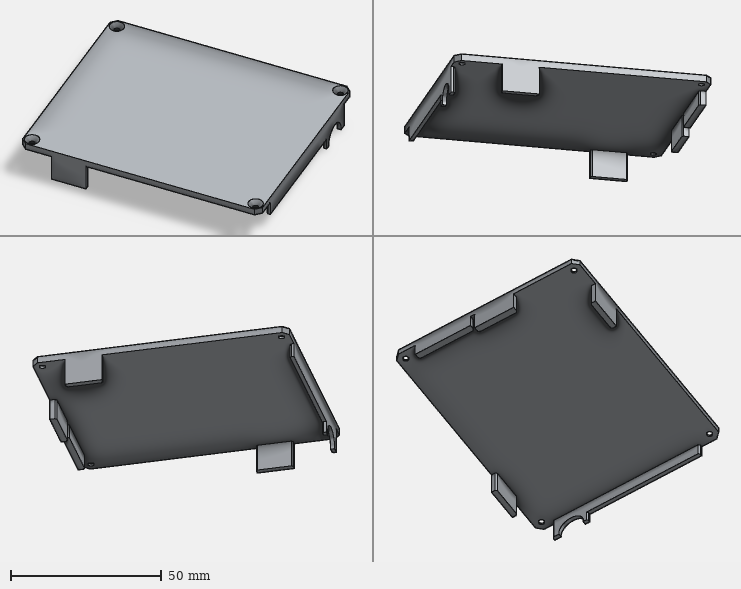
import cadquery as cq

length = 87.9
width = 73.0
total_height = 11.9
plate_thickness = 2.4
corner_chamfer = 2.0

hole_inset = 3.0
hole_diameter = 2.0
countersink_diameter = 5.1
countersink_angle = 90

tab_chamfer = 0.5
y_side_thickness = 2.0
left_thickness = 2.4
right_thickness = 1.4
y_side_drop = total_height - plate_thickness
shallow_drop = 4.9
left_deep_drop = 7.4
arched_drop = 9.05

y_tab_width = 12.7
front_tab_x = -26.2
back_tab_x = 21.6

left_shallow_span = (5.8, 27.8)
left_deep_span = (-11.4, 4.1)
right_shallow_span = (-28.4, 30.15)
right_arched_span = (16.2, right_shallow_span[1])

arch_radius = 4.8
arch_center_y = 22.8
arch_center_rise = 0.6


def make_plate():
    plate = (
        cq.Workplane("XY")
        .box(length, width, plate_thickness, centered=(True, True, False))
        .edges("|Z")
        .chamfer(corner_chamfer)
    )
    return (
        plate.faces(">Z")
        .workplane()
        .rect(length - 2 * hole_inset, width - 2 * hole_inset, forConstruction=True)
        .vertices()
        .cskHole(hole_diameter, countersink_diameter, countersink_angle)
    )


def make_tab(x_span, y_span, drop, inner_side):
    """Tab below the plate, with the upright edges of its inner side chamfered."""
    return (
        cq.Workplane("XY")
        .box(x_span[1] - x_span[0], y_span[1] - y_span[0], drop, centered=False)
        .translate((x_span[0], y_span[0], -drop))
        .faces(inner_side)
        .edges("|Z")
        .chamfer(tab_chamfer)
    )


def make_y_side_tab(center_x, y_span, inner_side):
    x_span = (center_x - y_tab_width / 2, center_x + y_tab_width / 2)
    return make_tab(x_span, y_span, y_side_drop, inner_side)


def make_arch_cutter():
    return (
        cq.Workplane("YZ", origin=(length / 2 - right_thickness, 0, 0))
        .center(arch_center_y, arch_center_rise - arched_drop)
        .circle(arch_radius)
        .extrude(right_thickness)
    )


front_y = (-width / 2, -width / 2 + y_side_thickness)
back_y = (width / 2 - y_side_thickness, width / 2)
left_x = (-length / 2, -length / 2 + left_thickness)
right_x = (length / 2 - right_thickness, length / 2)

right_tabs = (
    make_tab(right_x, right_shallow_span, shallow_drop, "<X")
    .union(make_tab(right_x, right_arched_span, arched_drop, "<X"))
    .cut(make_arch_cutter())
)

result = (
    make_plate()
    .union(make_y_side_tab(front_tab_x, front_y, ">Y"))
    .union(make_y_side_tab(back_tab_x, back_y, "<Y"))
    .union(make_tab(left_x, left_shallow_span, shallow_drop, ">X"))
    .union(make_tab(left_x, left_deep_span, left_deep_drop, ">X"))
    .union(right_tabs)
)